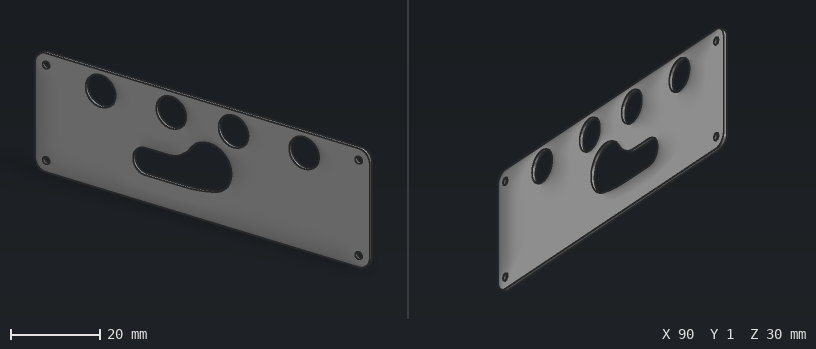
import cadquery as cq
import math

length = 90.0
height = 30.0
thickness = 1.0
corner_radius = 3.0

mount_diameter = 1.8
mount_x = length / 2 - corner_radius
mount_z = height / 2 - corner_radius

port_diameter = 8.0
port_z = 9.6
inner_port_x = 8.4
outer_port_x = 27.4

slot_radius = 3.4
slot_end_x = -15.2
slot_z = -4.7
bowl_radius = 6.0
bowl_x = 1.8
bowl_z = -1.3
neck_radius = 7.2
belly_radius = 36.0


def point_on_circle(center, radius, angle):
    return (center[0] + radius * math.cos(angle), center[1] + radius * math.sin(angle))


def middle_arc_point(center, radius, start, end):
    """Point of a short arc halfway between its two ends."""
    middle_x = (start[0] + end[0]) / 2 - center[0]
    middle_z = (start[1] + end[1]) / 2 - center[1]
    return point_on_circle(center, radius, math.atan2(middle_z, middle_x))


def spoon_cutter():
    slot_top = slot_z + slot_radius
    slot_bottom = slot_z - slot_radius
    bowl = (bowl_x, bowl_z)

    neck_z = slot_top + neck_radius
    neck_reach = math.sqrt((neck_radius + bowl_radius) ** 2 - (neck_z - bowl_z) ** 2)
    neck = (bowl_x - neck_reach, neck_z)
    neck_start = (neck[0], slot_top)
    neck_angle = math.atan2(neck_z - bowl_z, -neck_reach)
    neck_end = point_on_circle(bowl, bowl_radius, neck_angle)

    belly_z = slot_bottom + belly_radius
    belly_reach = math.sqrt((belly_radius - bowl_radius) ** 2 - (belly_z - bowl_z) ** 2)
    belly = (bowl_x - belly_reach, belly_z)
    belly_start = (belly[0], slot_bottom)
    belly_angle = math.atan2(bowl_z - belly_z, belly_reach)
    belly_end = point_on_circle(bowl, bowl_radius, belly_angle)

    bowl_middle = point_on_circle(bowl, bowl_radius, (neck_angle + belly_angle) / 2)
    return (
        cq.Workplane("XZ")
        .moveTo(slot_end_x, slot_top)
        .lineTo(*neck_start)
        .threePointArc(middle_arc_point(neck, neck_radius, neck_start, neck_end), neck_end)
        .threePointArc(bowl_middle, belly_end)
        .threePointArc(middle_arc_point(belly, belly_radius, belly_start, belly_end), belly_start)
        .lineTo(slot_end_x, slot_bottom)
        .threePointArc((slot_end_x - slot_radius, slot_z), (slot_end_x, slot_top))
        .close()
        .extrude(thickness, both=True)
    )


def hole_cutter(centers, diameter):
    return (
        cq.Workplane("XZ")
        .pushPoints(centers)
        .circle(diameter / 2)
        .extrude(thickness, both=True)
    )


plate = cq.Workplane("XY").box(length, thickness, height).edges("|Y").fillet(corner_radius)

mount_centers = [(x, z) for x in (-mount_x, mount_x) for z in (-mount_z, mount_z)]
port_centers = [(x, port_z) for x in (-outer_port_x, -inner_port_x, inner_port_x, outer_port_x)]

result = (
    plate
    .cut(hole_cutter(mount_centers, mount_diameter))
    .cut(hole_cutter(port_centers, port_diameter))
    .cut(spoon_cutter())
)